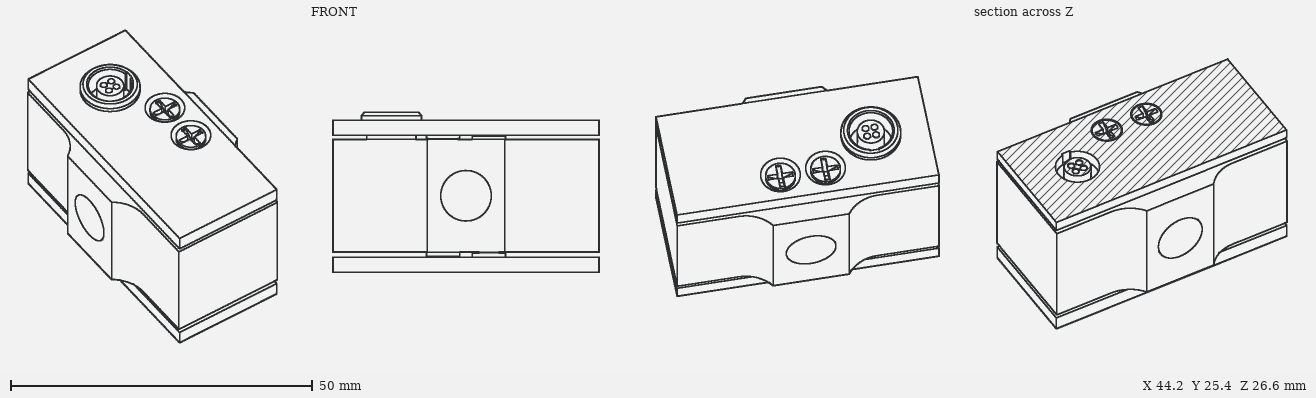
import cadquery as cq
import math

LENGTH = 44.2
BODY_WIDTH = 19.9
BODY_HEIGHT = 18.75
PAD_WIDTH = 25.4
PAD_LENGTH = 12.8
PAD_ROOT_LENGTH = 23.25
BORE_DIAMETER = 8.4
BORE_DEPTH = 11.05

PLATE_WIDTH = 19.62
PLATE_THICKNESS = 2.5
LOWER_GAP = 0.85
UPPER_GAP = 0.65

SCREW_X = 3.8
SCREW_Y = 5.13
COLLAR_DIAMETER = 5.55
COLLAR_CLEARANCE = 0.15
LOWER_STEM_DIAMETER = 3.3
COUNTERSINK_DIAMETER = 6.6
HEAD_DIAMETER = 4.95
HEAD_RECESS = 0.287
CROSS_LENGTH = 4.15
CROSS_WIDTH = 0.8
CROSS_END_DEPTH = 0.35
CROSS_TIP_LENGTH = 0.8
CROSS_DEPTH = 1.55

CONNECTOR_X = -12.38
FLANGE_DIAMETER = 10.0
FLANGE_HEIGHT = 1.33
FLANGE_CHAMFER_HEIGHT = 0.6
FLANGE_CHAMFER_INSET = 0.5
BARREL_DIAMETER = 8.95
BARREL_FLATS = 8.2
SOCKET_DIAMETER = 7.25
SOCKET_MOUTH_DIAMETER = 7.8
SOCKET_DEPTH = 4.2
KEYWAY_WIDTH = 1.45
INSERT_DIAMETER = 4.5
INSERT_RECESS = 0.4
CONTACT_DIAMETER = 1.1
CONTACT_SPACING = 1.5
CONTACT_DEPTH = 1.75

BODY_BOTTOM = PLATE_THICKNESS + LOWER_GAP
BODY_TOP = BODY_BOTTOM + BODY_HEIGHT
UPPER_PLATE_BOTTOM = BODY_TOP + UPPER_GAP
UPPER_PLATE_TOP = UPPER_PLATE_BOTTOM + PLATE_THICKNESS
CONNECTOR_TOP = UPPER_PLATE_TOP + FLANGE_HEIGHT


def cylinder(diameter, bottom, top, x=0, y=0):
    """Upright cylinder between two levels."""
    return cq.Workplane("XY", origin=(x, y, bottom)).circle(diameter / 2).extrude(top - bottom)


def plate(bottom):
    """Rectangular cover plate."""
    return cq.Workplane("XY", origin=(0, 0, bottom)).rect(LENGTH, PLATE_WIDTH).extrude(PLATE_THICKNESS)


def body():
    """Block whose pads run into the long sides through concave tangent arcs, bored from both pads."""
    run = (PAD_ROOT_LENGTH - PAD_LENGTH) / 2
    rise = (PAD_WIDTH - BODY_WIDTH) / 2
    radius = (run**2 + rise**2) / (2 * rise)
    half_angle = math.asin(run / radius) / 2
    mid_x = PAD_ROOT_LENGTH / 2 - radius * math.sin(half_angle)
    mid_y = BODY_WIDTH / 2 + radius * (1 - math.cos(half_angle))

    half_outline = (
        cq.Workplane("XY", origin=(0, 0, BODY_BOTTOM))
        .moveTo(-LENGTH / 2, 0)
        .lineTo(-LENGTH / 2, BODY_WIDTH / 2)
        .lineTo(-PAD_ROOT_LENGTH / 2, BODY_WIDTH / 2)
        .threePointArc((-mid_x, mid_y), (-PAD_LENGTH / 2, PAD_WIDTH / 2))
        .lineTo(PAD_LENGTH / 2, PAD_WIDTH / 2)
        .threePointArc((mid_x, mid_y), (PAD_ROOT_LENGTH / 2, BODY_WIDTH / 2))
        .lineTo(LENGTH / 2, BODY_WIDTH / 2)
        .lineTo(LENGTH / 2, 0)
    )
    block = half_outline.mirrorX().extrude(BODY_HEIGHT)
    bore = (
        cq.Workplane("XZ", origin=(0, -PAD_WIDTH / 2, BODY_BOTTOM + BODY_HEIGHT / 2))
        .circle(BORE_DIAMETER / 2)
        .extrude(-BORE_DEPTH)
    )
    return block.cut(bore).cut(bore.mirror("XZ"))


def cross_recess(top):
    """Cross drive recess: two crossing slots that taper towards a blunt tip."""
    arm = (
        cq.Workplane("XZ", origin=(0, CROSS_WIDTH / 2, top))
        .moveTo(-CROSS_LENGTH / 2, 0)
        .lineTo(CROSS_LENGTH / 2, 0)
        .lineTo(CROSS_LENGTH / 2, -CROSS_END_DEPTH)
        .lineTo(CROSS_TIP_LENGTH / 2, -CROSS_DEPTH)
        .lineTo(-CROSS_TIP_LENGTH / 2, -CROSS_DEPTH)
        .lineTo(-CROSS_LENGTH / 2, -CROSS_END_DEPTH)
        .close()
        .extrude(CROSS_WIDTH)
    )
    return arm.union(arm.rotate((0, 0, 0), (0, 0, 1), 90))


def add_screw(part, x, collars_hang):
    """Stems and collars across both gaps, and a cross-drive head standing in a countersink.

    Hanging collars touch the surface above them and the others stand on the surface below;
    a thin clearance at the opposite end leaves only the stem.
    """
    head_top = UPPER_PLATE_TOP - HEAD_RECESS
    screw = cylinder(HEAD_DIAMETER, BODY_TOP, head_top, x, SCREW_Y)
    screw = screw.union(cylinder(LOWER_STEM_DIAMETER, PLATE_THICKNESS, BODY_BOTTOM, x, SCREW_Y))
    for gap_bottom, gap_top in ((PLATE_THICKNESS, BODY_BOTTOM), (BODY_TOP, UPPER_PLATE_BOTTOM)):
        collar_bottom = gap_bottom + COLLAR_CLEARANCE if collars_hang else gap_bottom
        collar_top = gap_top if collars_hang else gap_top - COLLAR_CLEARANCE
        screw = screw.union(cylinder(COLLAR_DIAMETER, collar_bottom, collar_top, x, SCREW_Y))

    countersink_depth = (COUNTERSINK_DIAMETER - HEAD_DIAMETER) / 2
    countersink = (
        cq.Workplane("XY", origin=(x, SCREW_Y, UPPER_PLATE_TOP))
        .circle(COUNTERSINK_DIAMETER / 2)
        .extrude(-countersink_depth, taper=45)
    )
    part = part.cut(countersink).union(screw)
    return part.cut(cross_recess(head_top).translate((x, SCREW_Y, 0)))


def add_connector(part):
    """Flanged socket on a barrel with two flats, around a raised insert with four contact holes."""
    barrel = cylinder(BARREL_DIAMETER, BODY_TOP, UPPER_PLATE_TOP, CONNECTOR_X)
    flats = cq.Workplane("XY", origin=(CONNECTOR_X, 0, BODY_TOP)).rect(BARREL_FLATS, BARREL_DIAMETER)
    barrel = barrel.intersect(flats.extrude(UPPER_PLATE_TOP - BODY_TOP))
    flange = (
        cq.Workplane("XZ", origin=(CONNECTOR_X, 0, UPPER_PLATE_TOP))
        .lineTo(FLANGE_DIAMETER / 2, 0)
        .lineTo(FLANGE_DIAMETER / 2, FLANGE_HEIGHT - FLANGE_CHAMFER_HEIGHT)
        .lineTo(FLANGE_DIAMETER / 2 - FLANGE_CHAMFER_INSET, FLANGE_HEIGHT)
        .lineTo(0, FLANGE_HEIGHT)
        .close()
        .revolve(360, (0, 0), (0, 1))
    )

    socket_bottom = CONNECTOR_TOP - SOCKET_DEPTH
    socket = cylinder(SOCKET_DIAMETER, socket_bottom, CONNECTOR_TOP, CONNECTOR_X)
    keyway_reach = SOCKET_MOUTH_DIAMETER / 2
    keyway = (
        cq.Workplane("XY", origin=(CONNECTOR_X, keyway_reach / 2, socket_bottom))
        .rect(KEYWAY_WIDTH, keyway_reach)
        .extrude(SOCKET_DEPTH)
    )
    part = part.union(barrel).union(flange).cut(socket)
    mouth_chamfer = (SOCKET_MOUTH_DIAMETER - SOCKET_DIAMETER) / 2
    mouth = cq.Workplane("XY", origin=(CONNECTOR_X, 0, CONNECTOR_TOP)).circle(SOCKET_MOUTH_DIAMETER / 2)
    mouth = mouth.extrude(-mouth_chamfer, taper=45)
    part = part.cut(mouth).cut(keyway)

    insert_top = CONNECTOR_TOP - INSERT_RECESS
    insert = cylinder(INSERT_DIAMETER, socket_bottom, insert_top, CONNECTOR_X)
    contacts = (
        cq.Workplane("XY", origin=(CONNECTOR_X, 0, insert_top))
        .rarray(CONTACT_SPACING, CONTACT_SPACING, 2, 2)
        .circle(CONTACT_DIAMETER / 2)
        .extrude(-CONTACT_DEPTH)
    )
    return part.union(insert.cut(contacts))


result = body().union(plate(0)).union(plate(UPPER_PLATE_BOTTOM))
result = add_screw(result, -SCREW_X, collars_hang=True)
result = add_screw(result, SCREW_X, collars_hang=False)
result = add_connector(result)